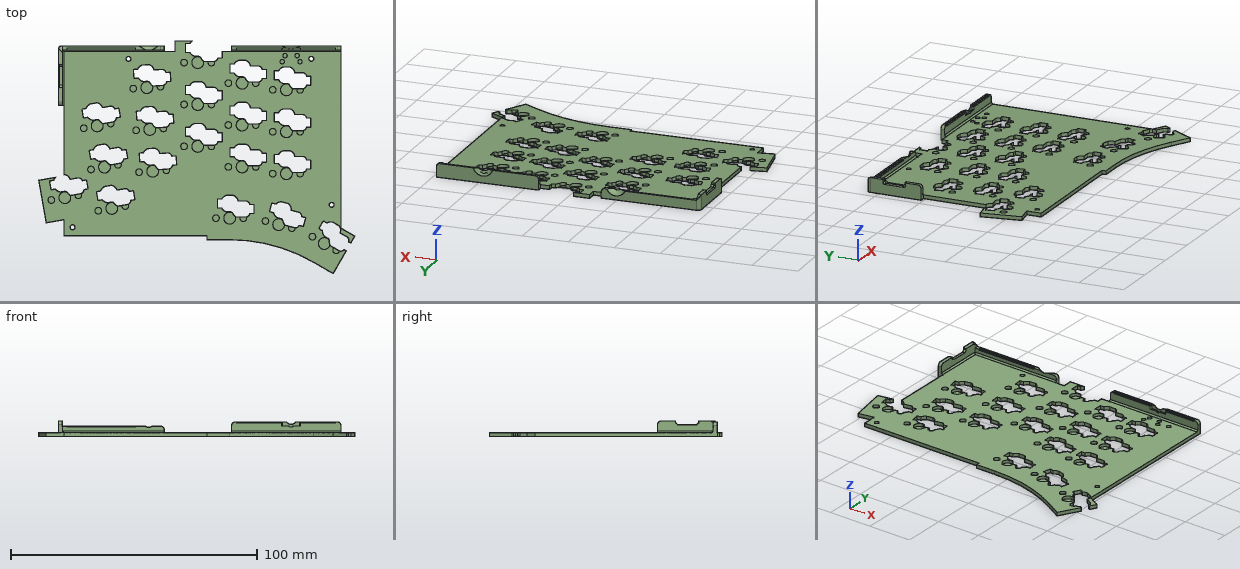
import cadquery as cq
import math

PLATE_THICKNESS = 1.65
PLATE_LEFT = -53.9
PLATE_RIGHT = 58.6
PLATE_FRONT = -31.8
PLATE_REAR = 43.0

KEY_PITCH_X = 18.0
KEY_PITCH_Y = 17.0
CELL_WIDTH = 18.48
CELL_DEPTH = 17.6

MIDDLE_X = 0.4
COLUMNS = [
    ((-40.39, 12.8), 10.0),
    ((-20.25, 28.32), 4.0),
    ((MIDDLE_X, 38.48), 0.0),
    ((MIDDLE_X + KEY_PITCH_X, 30.14), 0.0),
    ((MIDDLE_X + 2 * KEY_PITCH_X, 27.42), 0.0),
]
MIDDLE_COLUMN = 2
KEYS_PER_COLUMN = 3
OUTER_KEY_DROP = 7.6

THUMB_X = 13.36
THUMB_Y = -24.65
THUMB_RADIUS = 76.8
THUMB_STEP = 15.0
THUMB_KEYS = 3

STEM_RADIUS = 2.4
PEG_RADIUS = 1.35
PEG_OFFSET = 5.55
RECESS_DEPTH = 1.3

SOCKET_LEFT = -4.9
SOCKET_RIGHT = 9.85
LEFT_TAB_FRONT = 4.15
LEFT_TAB_REAR = 7.7
RIGHT_TAB_FRONT = 1.9
RIGHT_TAB_REAR = 5.5
LEFT_BODY_FRONT = 2.6
LEFT_BODY_REAR = 9.2
RIGHT_BODY_FRONT = 0.5
RIGHT_BODY_REAR = 6.9
LEFT_TAB_ROOT = -3.2
RIGHT_TAB_ROOT = 8.15
LEFT_BODY_FLAT = (-1.3, 1.5)
LEFT_BODY_NECK = 3.35
RIGHT_BODY_FLAT = (2.4, 6.75)
FRONT_STEP_TOP = (0.4, LEFT_BODY_FRONT)
FRONT_STEP_MIDDLE = (1.55, 1.45)

LEFT_BODY_REAR_LEFT_MID = (-2.4, 8.65)
LEFT_BODY_REAR_RIGHT_MID = (2.75, 8.35)
LEFT_BODY_FRONT_LEFT_MID = (-2.3, 3.1)
RIGHT_BODY_REAR_MID = (7.6, 6.5)
RIGHT_BODY_FRONT_MID = (7.7, 1.0)
FRONT_STEP_MID = (1.15, 2.15)

SCREW_RADIUS = 0.95
SCREW_POINTS = [(-27.7, 40.0), (46.5, 40.0), (54.75, -19.25), (-50.4, -28.35)]
PORT_X = 38.3
CONTACT_RADIUS = 0.9
CONTACT_OFFSETS = [(2.45, 41.3), (3.6, 38.85)]

WALL_THICKNESS = 1.65
WALL_CHAMFER = 0.65
WALL_CORNER = 1.5
SIDE_WALL_HEIGHT = 6.39
SIDE_WALL_FRONT = 21.0
JACK_WALL_HEIGHT = 4.3
JACK_WALL_END = -13.15
PORT_WALL_HEIGHT = 6.0
PORT_WALL_START = 14.1
WALL_INNER_X = PLATE_LEFT - WALL_CHAMFER
WALL_OUTER_X = WALL_INNER_X - WALL_THICKNESS
WALL_INNER_Y = PLATE_REAR + WALL_CHAMFER
WALL_OUTER_Y = WALL_INNER_Y + WALL_THICKNESS

STEP_DEPTH = 0.45
STEP_WIDTH = 0.75
JACK_STEP = (-52.6, -24.8)
PORT_STEPS = [(16.1, 34.5), (42.1, 56.4)]

CONE_OUTER_RADIUS = 4.4
CONE_INNER_RADIUS = 2.35
JACK_X = -19.5
JACK_AXIS_Z = 6.2
PORT_AXIS_Z = 7.4
PORT_POCKET_WIDTH = 7.8
PORT_POCKET_TAPER = 0.45
PORT_POCKET_FLOOR = 4.3
PORT_GROOVE_RADIUS = 1.0
PORT_GROOVE_DEPTH = 0.45

NOTCH_FRONT = 28.4
NOTCH_REAR = 37.7
NOTCH_FLOOR = 4.85
NOTCH_INNER_CORNER = 0.9
NOTCH_OUTER_CORNER = 0.5
NOTCH_LIP = 0.45

CORNER_SLOPE_SUM = -11.9
CORNER_SLOPE_ANGLE = 45.0


def key_positions():
    """Return (x, y, tilt) for every key of the columns."""
    keys = []
    for (x, y), tilt in COLUMNS:
        angle = math.radians(tilt)
        for row in range(KEYS_PER_COLUMN):
            travel = row * KEY_PITCH_Y
            keys.append((x + travel * math.sin(angle), y - travel * math.cos(angle), tilt))
    return keys


def outer_key_position():
    """Return (x, y, tilt) for the key left of the first column."""
    (x, y), tilt = COLUMNS[0]
    angle = math.radians(tilt)
    across = -KEY_PITCH_X
    along = OUTER_KEY_DROP - (KEYS_PER_COLUMN - 1) * KEY_PITCH_Y
    return (
        x + across * math.cos(angle) - along * math.sin(angle),
        y + across * math.sin(angle) + along * math.cos(angle),
        tilt,
    )


def thumb_point(radius, angle_deg):
    """Point at a given radius from the thumb fan centre, angle measured clockwise from +Y."""
    angle = math.radians(angle_deg)
    center_y = THUMB_Y - THUMB_RADIUS
    return (THUMB_X + radius * math.sin(angle), center_y + radius * math.cos(angle))


def thumb_positions():
    """Return (x, y, tilt) for each thumb key."""
    keys = []
    for index in range(THUMB_KEYS):
        angle = index * THUMB_STEP
        keys.append((*thumb_point(THUMB_RADIUS, angle), -angle))
    return keys


def at_key(shape, key):
    """Move a shape drawn around the origin onto a key."""
    x, y, tilt = key
    return shape.rotate((0, 0, 0), (0, 0, 1), tilt).translate((x, y, 0))


def box(x_range, y_range, z_range):
    size = [end - start for start, end in (x_range, y_range, z_range)]
    return cq.Workplane("XY").box(*size, centered=False).translate((x_range[0], y_range[0], z_range[0]))


def make_plate():
    plate = box((PLATE_LEFT, PLATE_RIGHT), (PLATE_FRONT, PLATE_REAR), (0, PLATE_THICKNESS))
    cell = cq.Workplane("XY").rect(CELL_WIDTH, CELL_DEPTH).extrude(PLATE_THICKNESS)
    thumbs = thumb_positions()
    for key in [outer_key_position(), thumbs[0], thumbs[-1]]:
        plate = plate.union(at_key(cell, key))
    return plate.union(make_rear_horn()).union(make_thumb_fan())


def make_rear_horn():
    """Left half of the rear middle key cell, which stands out behind the plate."""
    (x, y), _ = COLUMNS[MIDDLE_COLUMN]
    return box((x - CELL_WIDTH / 2, x), (y, y + CELL_DEPTH / 2), (0, PLATE_THICKNESS))


def make_thumb_fan():
    """Curved front area that joins the thumb cells."""
    radius = THUMB_RADIUS - CELL_DEPTH / 2
    fan = cq.Workplane("XY").moveTo(*thumb_point(radius, 0))
    for index in range(1, THUMB_KEYS):
        angle = index * THUMB_STEP
        middle = thumb_point(radius, angle - THUMB_STEP / 2)
        fan = fan.threePointArc(middle, thumb_point(radius, angle))
    last_angle = (THUMB_KEYS - 1) * THUMB_STEP
    fan = fan.lineTo(*thumb_point(THUMB_RADIUS, last_angle))
    fan = fan.lineTo(thumb_point(THUMB_RADIUS, last_angle)[0], THUMB_Y).lineTo(THUMB_X, THUMB_Y)
    return fan.close().extrude(PLATE_THICKNESS)


def make_socket_cut():
    """Through opening for one switch socket: two offset bodies with a side tab each."""
    left_flat, right_flat = LEFT_BODY_FLAT
    front_left, front_right = RIGHT_BODY_FLAT
    return (
        cq.Workplane("XY")
        .moveTo(SOCKET_LEFT, LEFT_TAB_FRONT)
        .lineTo(SOCKET_LEFT, LEFT_TAB_REAR)
        .lineTo(LEFT_TAB_ROOT, LEFT_TAB_REAR)
        .threePointArc(LEFT_BODY_REAR_LEFT_MID, (left_flat, LEFT_BODY_REAR))
        .lineTo(right_flat, LEFT_BODY_REAR)
        .threePointArc(LEFT_BODY_REAR_RIGHT_MID, (LEFT_BODY_NECK, RIGHT_BODY_REAR))
        .lineTo(front_right, RIGHT_BODY_REAR)
        .threePointArc(RIGHT_BODY_REAR_MID, (RIGHT_TAB_ROOT, RIGHT_TAB_REAR))
        .lineTo(SOCKET_RIGHT, RIGHT_TAB_REAR)
        .lineTo(SOCKET_RIGHT, RIGHT_TAB_FRONT)
        .lineTo(RIGHT_TAB_ROOT, RIGHT_TAB_FRONT)
        .threePointArc(RIGHT_BODY_FRONT_MID, (front_right, RIGHT_BODY_FRONT))
        .lineTo(front_left, RIGHT_BODY_FRONT)
        .lineTo(*FRONT_STEP_MIDDLE)
        .threePointArc(FRONT_STEP_MID, FRONT_STEP_TOP)
        .lineTo(left_flat, LEFT_BODY_FRONT)
        .threePointArc(LEFT_BODY_FRONT_LEFT_MID, (LEFT_TAB_ROOT, LEFT_TAB_FRONT))
        .close()
        .extrude(PLATE_THICKNESS)
    )


def make_switch_cut():
    """Socket opening plus the blind recesses for the switch stem and its two pegs."""
    recess = cq.Workplane("XY").workplane(offset=PLATE_THICKNESS - RECESS_DEPTH)
    stem = recess.circle(STEM_RADIUS).extrude(RECESS_DEPTH)
    pegs = recess.pushPoints([(-PEG_OFFSET, 0), (PEG_OFFSET, 0)]).circle(PEG_RADIUS).extrude(RECESS_DEPTH)
    return make_socket_cut().union(stem).union(pegs)


def make_side_wall():
    """Left wall with a rounded front end and a finger notch."""
    wall = box((WALL_OUTER_X, WALL_INNER_X), (SIDE_WALL_FRONT, WALL_OUTER_Y), (0, SIDE_WALL_HEIGHT))
    wall = wall.edges("|X and >Z and <Y").fillet(WALL_CORNER)
    return wall.cut(make_finger_notch()).cut(make_corner_slope())


def notch_outline(workplane, grow, corner):
    """Notch profile, widened and deepened by grow, with bevelled lower corners."""
    front = NOTCH_FRONT - grow
    rear = NOTCH_REAR + grow
    floor = NOTCH_FLOOR - grow
    return workplane.polyline(
        [
            (front, SIDE_WALL_HEIGHT),
            (front, floor + corner),
            (front + corner, floor),
            (rear - corner, floor),
            (rear, floor + corner),
            (rear, SIDE_WALL_HEIGHT),
        ]
    ).close()


def make_finger_notch():
    """Notch through the left wall, flared towards the outer face."""
    outer_face = cq.Workplane("YZ", origin=(WALL_OUTER_X, 0, 0))
    through = notch_outline(outer_face, 0, NOTCH_INNER_CORNER).extrude(WALL_THICKNESS)
    lip = notch_outline(outer_face, NOTCH_LIP, NOTCH_OUTER_CORNER).workplane(offset=NOTCH_LIP)
    lip = notch_outline(lip, 0, NOTCH_INNER_CORNER).loft(ruled=True)
    return through.union(lip)


def make_corner_slope():
    """Wedge that slopes the rear end of the left wall down to the lower rear wall."""
    drop = SIDE_WALL_HEIGHT - JACK_WALL_HEIGHT
    reach = 2 * SIDE_WALL_HEIGHT
    half_width = PLATE_RIGHT - PLATE_LEFT
    start = CORNER_SLOPE_SUM / math.sqrt(2)
    wedge = (
        cq.Workplane("XZ")
        .polyline(
            [
                (start, SIDE_WALL_HEIGHT),
                (start + drop, JACK_WALL_HEIGHT),
                (start + reach, JACK_WALL_HEIGHT),
                (start + reach, SIDE_WALL_HEIGHT),
            ]
        )
        .close()
        .extrude(half_width, both=True)
    )
    return wedge.rotate((0, 0, 0), (0, 0, 1), CORNER_SLOPE_ANGLE)


def rear_wall(x_range, height):
    return box(x_range, (WALL_INNER_Y, WALL_OUTER_Y), (0, height))


def make_step(x_range, height):
    return box(x_range, (WALL_INNER_Y, WALL_INNER_Y + STEP_WIDTH), (height - STEP_DEPTH, height))


def make_cone(x, z, length):
    """Opening that widens towards the outer face over the given length."""
    start = cq.Vector(x, WALL_OUTER_Y - length, z)
    cone = cq.Solid.makeCone(CONE_INNER_RADIUS, CONE_OUTER_RADIUS, length, start, cq.Vector(0, 1, 0))
    return cq.Workplane(cone)


def make_jack_wall():
    wall = rear_wall((WALL_OUTER_X, JACK_WALL_END), JACK_WALL_HEIGHT)
    wall = wall.edges("|Y and >Z and >X").fillet(WALL_CORNER)
    wall = wall.cut(make_step(JACK_STEP, JACK_WALL_HEIGHT))
    return wall.cut(make_cone(JACK_X, JACK_AXIS_Z, WALL_THICKNESS))


def make_port_pocket():
    """Pocket in the inner half of the port wall, narrowing outwards, with a groove in its floor."""
    half = PORT_POCKET_WIDTH / 2
    pocket = (
        cq.Workplane("XY", origin=(PORT_X, WALL_INNER_Y, PORT_POCKET_FLOOR))
        .polyline(
            [
                (-half, 0),
                (half, 0),
                (half - PORT_POCKET_TAPER, STEP_WIDTH),
                (PORT_POCKET_TAPER - half, STEP_WIDTH),
            ]
        )
        .close()
        .extrude(PORT_WALL_HEIGHT - PORT_POCKET_FLOOR)
    )
    groove_z = PORT_POCKET_FLOOR - PORT_GROOVE_DEPTH + PORT_GROOVE_RADIUS
    groove = (
        cq.Workplane("XZ", origin=(PORT_X, WALL_INNER_Y, groove_z))
        .circle(PORT_GROOVE_RADIUS)
        .extrude(-STEP_WIDTH)
    )
    return pocket.union(groove)


def make_port_wall():
    wall = rear_wall((PORT_WALL_START, PLATE_RIGHT), PORT_WALL_HEIGHT)
    wall = wall.edges("|Y and >Z").fillet(WALL_CORNER)
    for x_range in PORT_STEPS:
        wall = wall.cut(make_step(x_range, PORT_WALL_HEIGHT))
    wall = wall.cut(make_port_pocket())
    return wall.cut(make_cone(PORT_X, PORT_AXIS_Z, WALL_THICKNESS - STEP_WIDTH))


def foot_profile(workplane, edge, direction):
    """Cross-section that carries the plate out under a wall with a sloped foot."""
    inner = edge + direction * WALL_CHAMFER
    return workplane.polyline(
        [
            (edge, 0),
            (edge, PLATE_THICKNESS),
            (inner, PLATE_THICKNESS + WALL_CHAMFER),
            (inner, 0),
        ]
    ).close()


def make_feet():
    side = foot_profile(cq.Workplane("XZ", origin=(0, SIDE_WALL_FRONT, 0)), PLATE_LEFT, -1)
    feet = side.extrude(SIDE_WALL_FRONT - WALL_INNER_Y)
    for start, end in [(WALL_INNER_X, JACK_WALL_END), (PORT_WALL_START, PLATE_RIGHT)]:
        rear = foot_profile(cq.Workplane("YZ", origin=(start, 0, 0)), PLATE_REAR, 1)
        feet = feet.union(rear.extrude(end - start))
    return feet


def make_walls():
    left = make_side_wall().union(make_jack_wall())
    corner = cq.selectors.NearestToPointSelector((WALL_OUTER_X, WALL_OUTER_Y, PLATE_THICKNESS))
    left = left.edges(corner).fillet(WALL_CORNER)
    return left.union(make_port_wall()).union(make_feet())


def make_small_holes():
    holes = cq.Workplane("XY").pushPoints(SCREW_POINTS).circle(SCREW_RADIUS).extrude(PLATE_THICKNESS)
    contacts = []
    for offset, y in CONTACT_OFFSETS:
        contacts += [(PORT_X - offset, y), (PORT_X + offset, y)]
    recess = cq.Workplane("XY").workplane(offset=PLATE_THICKNESS - RECESS_DEPTH)
    return holes.union(recess.pushPoints(contacts).circle(CONTACT_RADIUS).extrude(RECESS_DEPTH))


result = make_plate().union(make_walls())
switch_cut = make_switch_cut()
for key in key_positions() + [outer_key_position()] + thumb_positions():
    result = result.cut(at_key(switch_cut, key))
result = result.cut(make_small_holes())